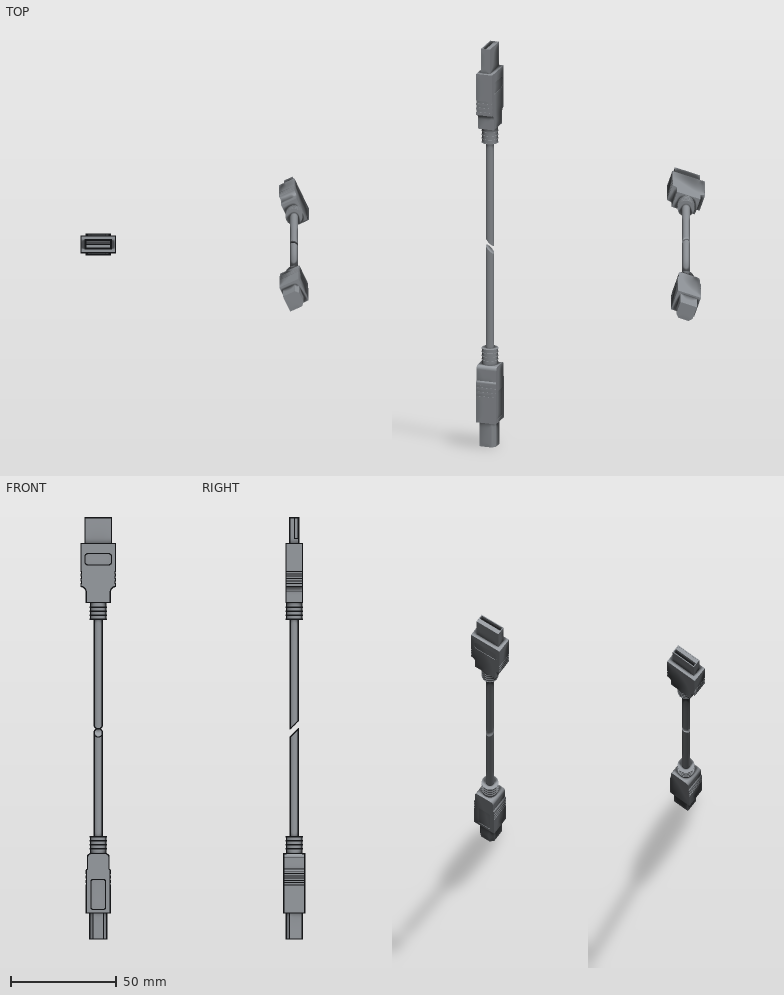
import cadquery as cq
import math

TOTAL_LENGTH = 200.0
CABLE_DIAMETER = 4.0

CUT_MID_HEIGHT = 99.8
CUT_GAP = 3.8

SLEEVE_DIAMETER = 7.5
SLEEVE_LENGTH = 8.0
RING_DIAMETER = 8.0
RING_THICKNESS = 0.2
RING_PITCH = 1.9
RING_COUNT = 4

GROOVE_COUNT = 3
GROOVE_DEPTH = 0.2
GROOVE_WIDTH = 1.2
GROOVE_PITCH = 2.2

LABEL_DEPTH = 0.2

A_SHELL_WIDTH = 12.5
A_SHELL_THICKNESS = 4.5
A_SHELL_LENGTH = 12.2
A_SHELL_WALL = 0.5
A_TONGUE_RECESS = 0.2
A_SOCKET_DEPTH = 10.0
A_BODY_WIDTH = 16.5
A_BODY_THICKNESS = 8.0
A_BODY_LENGTH = 28.2
A_NECK_WIDTH = 11.5
A_NECK_LENGTH = 7.5
A_LABEL_WIDTH = 12.8
A_LABEL_HEIGHT = 5.5
A_LABEL_RADIUS = 1.8
A_LABEL_MIDDLE_BELOW_BODY_TOP = 7.5
A_GROOVE_BELOW_BODY_TOP = 13.5

B_PLUG_WIDTH = 8.2
B_PLUG_THICKNESS = 7.8
B_PLUG_CHAMFER = 1.5
B_PLUG_LENGTH = 12.5
B_BODY_WIDTH = 11.5
B_BODY_THICKNESS = 10.0
B_BODY_LENGTH = 28.2
B_NECK_WIDTH = 10.5
B_NECK_LENGTH = 7.5
B_SHOULDER_RISE = 1.0
B_TOP_RADIUS = 1.8
B_LABEL_WIDTH = 6.8
B_LABEL_HEIGHT = 14.0
B_LABEL_RADIUS = 0.5
B_LABEL_MIDDLE_ABOVE_BODY_BOTTOM = 8.8
B_GROOVE_ABOVE_BODY_BOTTOM = 13.2

A_BODY_TOP = TOTAL_LENGTH - A_SHELL_LENGTH
A_BODY_BOTTOM = A_BODY_TOP - A_BODY_LENGTH
A_SLEEVE_END = A_BODY_BOTTOM - SLEEVE_LENGTH
B_BODY_BOTTOM = B_PLUG_LENGTH
B_BODY_TOP = B_BODY_BOTTOM + B_BODY_LENGTH
B_SLEEVE_END = B_BODY_TOP + SLEEVE_LENGTH


def block(width, thickness, bottom, top):
    """Box centred on the cable axis, from one height to another."""
    return cq.Workplane("XY", origin=(0, 0, bottom)).rect(width, thickness).extrude(top - bottom)


def rod(diameter, bottom, top):
    """Cylinder on the cable axis, from one height to another."""
    return cq.Workplane("XY", origin=(0, 0, bottom)).circle(diameter / 2).extrude(top - bottom)


def strain_relief(cable_end, direction):
    """Ringed sleeve from its cable end towards the overmold; direction is +1 for up, -1 for down."""
    sleeve = rod(SLEEVE_DIAMETER, cable_end, cable_end + direction * SLEEVE_LENGTH)
    for index in range(RING_COUNT):
        ring_start = cable_end + direction * index * RING_PITCH
        sleeve = sleeve.union(rod(RING_DIAMETER, ring_start, ring_start + direction * RING_THICKNESS))
    return sleeve


def cut_grip_grooves(body, width, thickness, first_edge, direction):
    """Cut the row of shallow grooves into both narrow sides of an overmold."""
    for index in range(GROOVE_COUNT):
        start = first_edge + direction * index * GROOVE_PITCH
        end = start + direction * GROOVE_WIDTH
        band = block(width, thickness, start, end)
        core = block(width - 2 * GROOVE_DEPTH, thickness, start, end)
        body = body.cut(band.cut(core))
    return body


def label_recess(width, height, radius, thickness, middle_height):
    """Shallow rounded rectangle in the -Y face of an overmold."""
    return (
        cq.Workplane("XZ", origin=(0, -thickness / 2 + LABEL_DEPTH, middle_height))
        .rect(width, height)
        .extrude(LABEL_DEPTH)
        .edges("|Y")
        .fillet(radius)
    )


def cable_half(bottom, top, cut_height, keep_above):
    """Cable length whose free end is cut along the plane z = cut_height + y."""
    reach = CABLE_DIAMETER
    far = top if keep_above else bottom
    kept = (
        cq.Workplane("YZ", origin=(-reach, 0, 0))
        .polyline([(-reach, cut_height - reach), (reach, cut_height + reach), (reach, far), (-reach, far)])
        .close()
        .extrude(2 * reach)
    )
    return rod(CABLE_DIAMETER, bottom, top).intersect(kept)


def type_a_overmold():
    half_body = A_BODY_WIDTH / 2
    half_neck = A_NECK_WIDTH / 2
    step_radius = half_body - half_neck
    neck_top = A_BODY_BOTTOM + A_NECK_LENGTH - step_radius
    diagonal = step_radius * math.sqrt(0.5)
    step_top = neck_top + step_radius
    overmold = (
        cq.Workplane("XZ", origin=(0, A_BODY_THICKNESS / 2, 0))
        .moveTo(-half_neck, A_BODY_BOTTOM)
        .lineTo(half_neck, A_BODY_BOTTOM)
        .lineTo(half_neck, neck_top)
        .threePointArc((half_body - diagonal, neck_top + diagonal), (half_body, step_top))
        .lineTo(half_body, A_BODY_TOP)
        .lineTo(-half_body, A_BODY_TOP)
        .lineTo(-half_body, step_top)
        .threePointArc((-half_body + diagonal, neck_top + diagonal), (-half_neck, neck_top))
        .close()
        .extrude(A_BODY_THICKNESS)
    )
    overmold = cut_grip_grooves(
        overmold, A_BODY_WIDTH, A_BODY_THICKNESS, A_BODY_TOP - A_GROOVE_BELOW_BODY_TOP, -1
    )
    label_middle = A_BODY_TOP - A_LABEL_MIDDLE_BELOW_BODY_TOP
    return overmold.cut(
        label_recess(A_LABEL_WIDTH, A_LABEL_HEIGHT, A_LABEL_RADIUS, A_BODY_THICKNESS, label_middle)
    )


def type_a_shell():
    """Metal shell; the contact tongue fills its -Y half, just below the rim, and the +Y half is open."""
    shell = block(A_SHELL_WIDTH, A_SHELL_THICKNESS, A_BODY_TOP, TOTAL_LENGTH)
    inner_width = A_SHELL_WIDTH - 2 * A_SHELL_WALL
    inner_thickness = A_SHELL_THICKNESS - 2 * A_SHELL_WALL
    mouth = block(inner_width, inner_thickness, TOTAL_LENGTH - A_TONGUE_RECESS, TOTAL_LENGTH)
    socket = block(
        inner_width, inner_thickness / 2, TOTAL_LENGTH - A_SOCKET_DEPTH, TOTAL_LENGTH
    ).translate((0, inner_thickness / 4, 0))
    return shell.cut(mouth).cut(socket)


def type_b_overmold():
    half_body = B_BODY_WIDTH / 2
    half_neck = B_NECK_WIDTH / 2
    step = half_body - half_neck
    neck_bottom = B_BODY_TOP - B_NECK_LENGTH
    shoulder_bottom = neck_bottom - B_SHOULDER_RISE
    shoulder_radius = (step ** 2 + B_SHOULDER_RISE ** 2) / (2 * step)
    half_rise = B_SHOULDER_RISE / 2
    shoulder_middle = shoulder_bottom + half_rise
    shoulder_bulge = step - shoulder_radius + math.sqrt(shoulder_radius ** 2 - half_rise ** 2)
    overmold = (
        cq.Workplane("XZ", origin=(0, B_BODY_THICKNESS / 2, 0))
        .moveTo(-half_body, B_BODY_BOTTOM)
        .lineTo(half_body, B_BODY_BOTTOM)
        .lineTo(half_body, shoulder_bottom)
        .threePointArc((half_neck + shoulder_bulge, shoulder_middle), (half_neck, neck_bottom))
        .lineTo(half_neck, B_BODY_TOP)
        .lineTo(-half_neck, B_BODY_TOP)
        .lineTo(-half_neck, neck_bottom)
        .threePointArc((-half_neck - shoulder_bulge, shoulder_middle), (-half_body, shoulder_bottom))
        .close()
        .extrude(B_BODY_THICKNESS)
        .faces(">Z")
        .edges("|Y")
        .fillet(B_TOP_RADIUS)
    )
    overmold = cut_grip_grooves(
        overmold, B_BODY_WIDTH, B_BODY_THICKNESS, B_BODY_BOTTOM + B_GROOVE_ABOVE_BODY_BOTTOM, 1
    )
    label_middle = B_BODY_BOTTOM + B_LABEL_MIDDLE_ABOVE_BODY_BOTTOM
    return overmold.cut(
        label_recess(B_LABEL_WIDTH, B_LABEL_HEIGHT, B_LABEL_RADIUS, B_BODY_THICKNESS, label_middle)
    )


def type_b_plug():
    """Plug with its two -Y corners chamfered."""
    return (
        block(B_PLUG_WIDTH, B_PLUG_THICKNESS, 0, B_BODY_BOTTOM)
        .faces("<Y")
        .edges("|Z")
        .chamfer(B_PLUG_CHAMFER)
    )


def type_a_cable_end():
    return (
        type_a_overmold()
        .union(type_a_shell())
        .union(strain_relief(A_SLEEVE_END, 1))
        .union(cable_half(CUT_MID_HEIGHT - CABLE_DIAMETER, A_SLEEVE_END, CUT_MID_HEIGHT + CUT_GAP / 2, True))
    )


def type_b_cable_end():
    return (
        type_b_overmold()
        .union(type_b_plug())
        .union(strain_relief(B_SLEEVE_END, -1))
        .union(cable_half(B_SLEEVE_END, CUT_MID_HEIGHT + CABLE_DIAMETER, CUT_MID_HEIGHT - CUT_GAP / 2, False))
    )


type_a_end = type_a_cable_end()
type_b_end = type_b_cable_end()
result = cq.Compound.makeCompound([type_a_end.val(), type_b_end.val()])